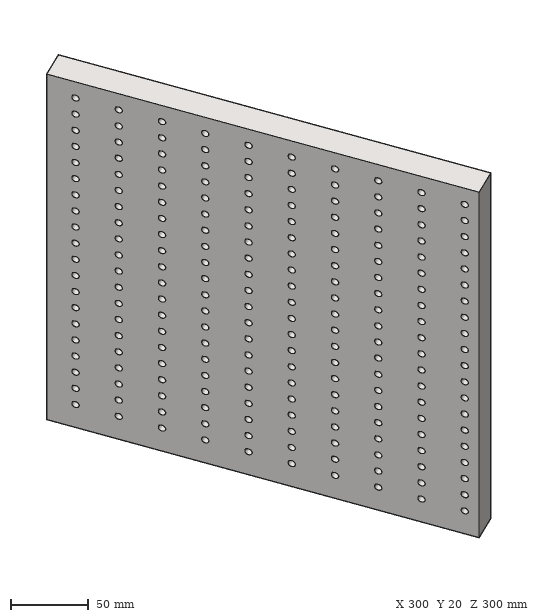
import cadquery as cq

side = 300.0
thickness = side / 15

hole_diameter = thickness / 4
edge_margin = thickness
column_count = 10
column_pitch = side / column_count
row_count = 20
row_pitch = (side - edge_margin) / row_count


def make_plate():
    """Plate with one corner at the origin, its Y thickness running from zero upward."""
    return cq.Workplane("XY").box(side, thickness, side, centered=False)


def hole_centres():
    """Hole positions as (X, Z) pairs, column by column."""
    return [
        (edge_margin + column * column_pitch, edge_margin + row * row_pitch)
        for column in range(column_count)
        for row in range(row_count)
    ]


def make_holes():
    """Cylinders running along +Y through the full thickness."""
    return (
        cq.Workplane("XZ")
        .pushPoints(hole_centres())
        .circle(hole_diameter / 2)
        .extrude(-thickness)
    )


result = make_plate().cut(make_holes())